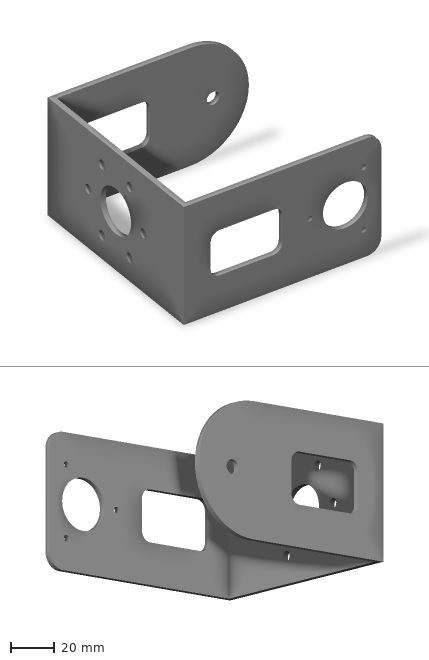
import cadquery as cq
import math

width = 111.0
depth = 110.0
height = 65.0
thickness = 3.0

plate_bore_diameter = 25.0
plate_bolt_circle_diameter = 45.0
plate_bolt_diameter = 5.0
plate_bolt_count = 6

pivot_setback = 20.0
pivot_hole_diameter = 7.0
right_corner_radius = 8.0
motor_bore_diameter = 25.0
motor_bolt_circle_diameter = 40.0
motor_bolt_diameter = 3.0
motor_bolt_count = 3

window_length = 40.0
window_height = 25.0
window_radius = 5.0
window_front_gap = 15.0

pivot_y = depth - pivot_setback
window_y = window_front_gap + window_length / 2
left_outer_x = -width / 2
right_inner_x = width / 2 - thickness


def side_plane(x):
    """Sketch plane facing +X: local x is Y and local y is Z."""
    return cq.Workplane("YZ", origin=(x, 0, 0))


def make_front_plate():
    plate = cq.Workplane("XZ").rect(width, height).extrude(-thickness)
    bore = cq.Workplane("XZ").circle(plate_bore_diameter / 2).extrude(-thickness)
    bolts = (
        cq.Workplane("XZ")
        .polarArray(plate_bolt_circle_diameter / 2, 0, 360, plate_bolt_count)
        .circle(plate_bolt_diameter / 2)
        .extrude(-thickness)
    )
    return plate.cut(bore).cut(bolts)


def make_left_arm():
    """Arm with a full-round end and a single pivot hole."""
    end_radius = height / 2
    arc_start_y = depth - end_radius
    arm = (
        side_plane(left_outer_x)
        .moveTo(0, -end_radius)
        .lineTo(arc_start_y, -end_radius)
        .threePointArc((depth, 0), (arc_start_y, end_radius))
        .lineTo(0, end_radius)
        .close()
        .extrude(thickness)
    )
    pivot = side_plane(left_outer_x).center(pivot_y, 0).circle(pivot_hole_diameter / 2).extrude(thickness)
    return arm.cut(pivot)


def make_right_arm():
    """Arm with rounded corners, a motor bore and three bolt holes, one facing the front plate."""
    arm = (
        side_plane(right_inner_x)
        .center(depth / 2, 0)
        .rect(depth, height)
        .extrude(thickness)
        .edges("|X and >Y")
        .fillet(right_corner_radius)
    )
    bore = side_plane(right_inner_x).center(pivot_y, 0).circle(motor_bore_diameter / 2).extrude(thickness)
    arm = arm.cut(bore)
    for index in range(motor_bolt_count):
        angle = math.pi + 2 * math.pi * index / motor_bolt_count
        bolt_y = pivot_y + motor_bolt_circle_diameter / 2 * math.cos(angle)
        bolt_z = motor_bolt_circle_diameter / 2 * math.sin(angle)
        bolt = side_plane(right_inner_x).center(bolt_y, bolt_z).circle(motor_bolt_diameter / 2)
        arm = arm.cut(bolt.extrude(thickness))
    return arm


def make_window_cutter():
    return (
        side_plane(left_outer_x)
        .center(window_y, 0)
        .rect(window_length, window_height)
        .extrude(width)
        .edges("|X")
        .fillet(window_radius)
    )


bracket = make_front_plate().union(make_left_arm()).union(make_right_arm())
result = bracket.cut(make_window_cutter())